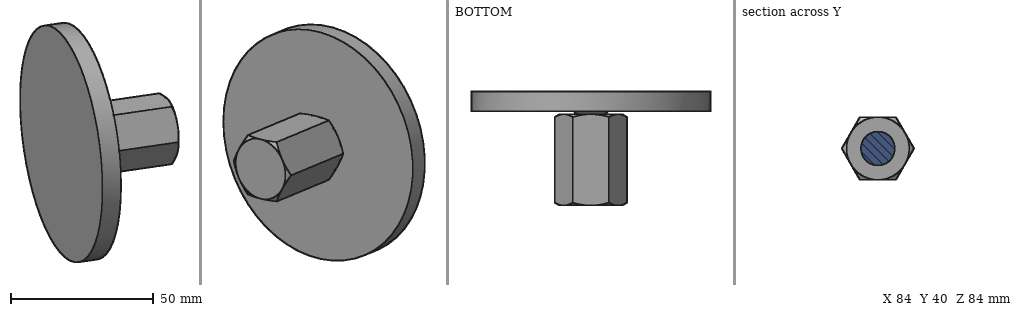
import cadquery as cq
import math

pad_diameter = 84.0
pad_thickness = 7.0
total_length = 40.0
gap = 1.0
across_flats = 22.0
chamfer_angle = 30.0
neck_nut_diameter = 10.1
neck_pad_diameter = 12.1

hex_length = total_length - pad_thickness - gap
across_corners = across_flats / math.cos(math.radians(30))
corner_overhang = (across_corners - across_flats) / 2
chamfer_height = corner_overhang * math.tan(math.radians(chamfer_angle))


def plane_at(y):
    """Plane normal to the axis, facing +Y, at distance y from the free face."""
    return cq.Workplane("XZ", origin=(0, y, 0)).transformed(rotate=(180, 0, 0))


def make_pad():
    """Plain round foot pad."""
    return plane_at(0).circle(pad_diameter / 2).extrude(pad_thickness)


def make_chamfer_envelope():
    """Round bar with conical ends that trims the hexagon's corners."""
    face_radius = across_flats / 2
    corner_radius = across_corners / 2
    start = pad_thickness + gap
    return (
        cq.Workplane("XY")
        .moveTo(0, start)
        .lineTo(face_radius, start)
        .lineTo(corner_radius, start + chamfer_height)
        .lineTo(corner_radius, total_length - chamfer_height)
        .lineTo(face_radius, total_length)
        .lineTo(0, total_length)
        .close()
        .revolve(360, (0, 0, 0), (0, 1, 0))
    )


def make_neck():
    """Short cone that widens from the hexagon to the pad."""
    return (
        plane_at(pad_thickness)
        .circle(neck_pad_diameter / 2)
        .workplane(offset=gap)
        .circle(neck_nut_diameter / 2)
        .loft(ruled=True)
    )


def make_hex_nut():
    """Long hexagon with corners on the X axis, chamfered ends and a neck."""
    hexagon = plane_at(pad_thickness + gap).polygon(6, across_corners).extrude(hex_length)
    return hexagon.intersect(make_chamfer_envelope()).union(make_neck()).solids()


pad = make_pad()
hex_nut = make_hex_nut()
result = cq.Compound.makeCompound([pad.val(), hex_nut.val()])